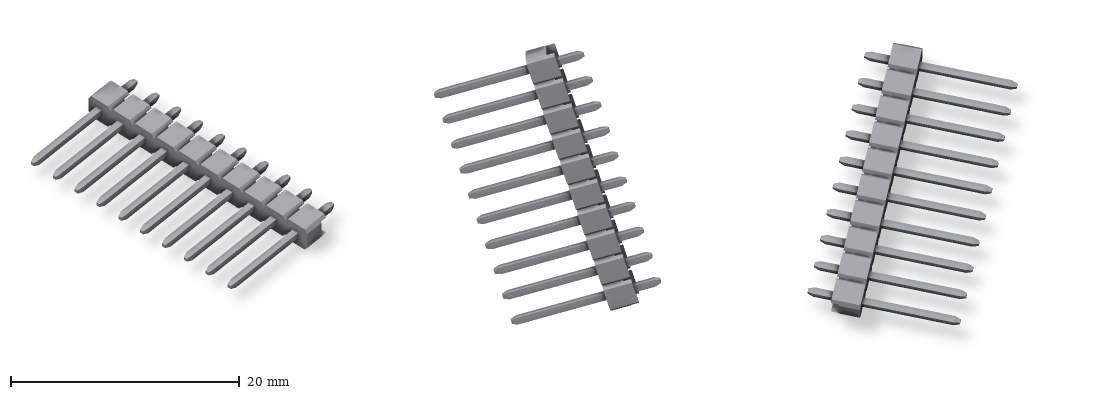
import cadquery as cq

PIN_COUNT = 10
PITCH = 2.55
ROW_LENGTH = PIN_COUNT * PITCH

HOUSING_HEIGHT = 2.5
HOUSING_DEPTH = 2.6
BEVEL_WIDTH = 0.3
BEVEL_HEIGHT = 0.4
LIP_THICKNESS = 0.3
CHANNEL_DEPTH = 0.7

PIN_LENGTH = 13.6
PIN_WIDTH = 0.64
PIN_SIDE_SHIFT = -0.1
TIP_LENGTH = 0.53
TIP_WIDTH = 0.35
REAR_PIN_PROJECTION = 2.29

PIN_REAR_Y = PIN_LENGTH / 2
HOUSING_REAR_Y = PIN_REAR_Y - REAR_PIN_PROJECTION


def segment_center_x(index):
    return (index + 0.5) * PITCH - ROW_LENGTH / 2


def make_segment(center_x):
    """Eight-sided housing segment; neighbours meet in V-shaped notches."""
    side_x = PITCH / 2
    flat_x = side_x - BEVEL_WIDTH
    top_z = HOUSING_HEIGHT / 2
    bevel_z = top_z - BEVEL_HEIGHT
    outline = [
        (-side_x, -bevel_z),
        (-flat_x, -top_z),
        (flat_x, -top_z),
        (side_x, -bevel_z),
        (side_x, bevel_z),
        (flat_x, top_z),
        (-flat_x, top_z),
        (-side_x, bevel_z),
    ]
    return (
        cq.Workplane("XZ", origin=(center_x, HOUSING_REAR_Y, 0))
        .polyline(outline)
        .close()
        .extrude(HOUSING_DEPTH)
    )


def make_channel():
    """Channel along the whole rear face, leaving a lip above and below."""
    channel_height = HOUSING_HEIGHT - 2 * LIP_THICKNESS
    return cq.Workplane("XY").box(ROW_LENGTH, CHANNEL_DEPTH, channel_height).translate(
        (0, HOUSING_REAR_Y - CHANNEL_DEPTH / 2, 0)
    )


def make_tip(plane, center_x, base_y):
    """Square tapered tip that narrows along the normal of the given plane."""
    return (
        cq.Workplane(plane, origin=(center_x, base_y, 0))
        .rect(PIN_WIDTH, PIN_WIDTH)
        .workplane(offset=TIP_LENGTH)
        .rect(TIP_WIDTH, TIP_WIDTH)
        .loft(ruled=True)
    )


def make_pin(center_x):
    """Square pin with a tapered tip at both ends."""
    tip_base_y = PIN_REAR_Y - TIP_LENGTH
    shank = cq.Workplane("XY").box(PIN_WIDTH, 2 * tip_base_y, PIN_WIDTH).translate((center_x, 0, 0))
    rear_tip = make_tip("ZX", center_x, tip_base_y)
    front_tip = make_tip("XZ", center_x, -tip_base_y)
    return shank.union(rear_tip).union(front_tip)


housing = make_segment(segment_center_x(0))
for i in range(1, PIN_COUNT):
    housing = housing.union(make_segment(segment_center_x(i)))
housing = housing.clean().cut(make_channel())

result = housing
for i in range(PIN_COUNT):
    result = result.union(make_pin(segment_center_x(i) + PIN_SIDE_SHIFT))